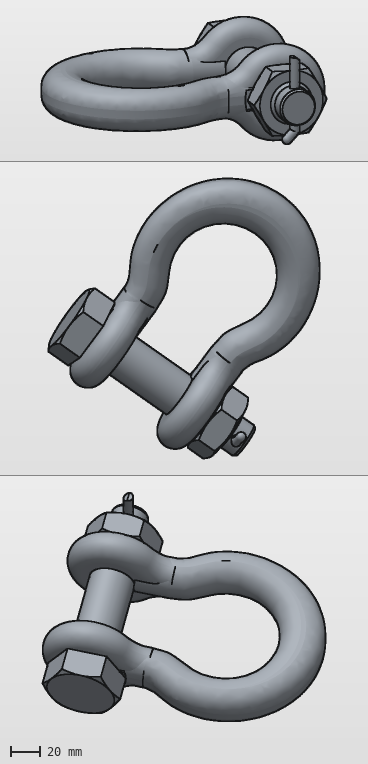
import cadquery as cq
import math


EAR_RADIUS = 34.2
EAR_CENTER_X = 37.0
EAR_WIDTH = 23.5
EAR_EDGE_ROUND = 11.5
NECK_FILLET = 20.9

LIMB_HEIGHT = 29.6
OUTER_STRIP_HEIGHT = 6.0
LIMB_TOP_FLAT = 0.2
LEG_CENTER_X = 36.6
LEG_WIDTH = 26.8
SIDE_WIDTH = 28.5
CROWN_WIDTH = 31.9
BOW_INNER_RADIUS = 36.8
BOW_BOTTOM_Y = -155.5
BEND_RADIUS = 33.2
BOW_STEPS = 8
SHOULDER_STEPS = 3
BEND_STEPS = 3

SHANK_RADIUS = 16.0
SEAT_X = 49.3
HEAD_LENGTH = 19.2
HEAD_FLATS = 47.8
NUT_LENGTH = 17.5
NUT_FLATS = 46.1
HEX_CHAMFER_ANGLE = 30.0

TIP_END_X = 81.4
TIP_RADIUS = 12.9
CONE_RADIUS = 15.2
TIP_CHAMFER_LENGTH = 1.9
TIP_CHAMFER_DEPTH = 1.1

COTTER_X = 73.6
COTTER_RADIUS = 3.5
COTTER_TOP_Z = 34.7
COTTER_TOP_DROP = 2.7
COTTER_BEND_Z = -18.2
COTTER_TAIL_DROP = 5.7

LIMB_HALF_HEIGHT = LIMB_HEIGHT / 2
BOW_CENTER_Y = BOW_BOTTOM_Y + BOW_INNER_RADIUS + CROWN_WIDTH
SIDE_RADIUS = BOW_INNER_RADIUS + SIDE_WIDTH / 2
SHOULDER_ANGLE = math.acos((LEG_CENTER_X + BEND_RADIUS) / (SIDE_RADIUS + BEND_RADIUS))
BEND_CENTER_X = LEG_CENTER_X + BEND_RADIUS
BEND_CENTER_Y = BOW_CENTER_Y + (SIDE_RADIUS + BEND_RADIUS) * math.sin(SHOULDER_ANGLE)
HEX_FACTOR = 1 / math.cos(math.pi / 6)


def between(start, end, share):
    return start + (end - start) * share


def limb_stations():
    """Middle x, y, outward angle and width of each section, from the crown up the +X limb."""
    stations = []
    for step in range(BOW_STEPS + 1):
        angle = -math.pi / 2 * (1 - step / BOW_STEPS)
        width = between(SIDE_WIDTH, CROWN_WIDTH, math.sin(angle) ** 2)
        radius = BOW_INNER_RADIUS + width / 2
        stations.append((radius * math.cos(angle), BOW_CENTER_Y + radius * math.sin(angle), angle, width))
    middle_width = (SIDE_WIDTH + LEG_WIDTH) / 2
    for step in range(1, SHOULDER_STEPS + 1):
        share = step / SHOULDER_STEPS
        angle = SHOULDER_ANGLE * share
        x = SIDE_RADIUS * math.cos(angle)
        y = BOW_CENTER_Y + SIDE_RADIUS * math.sin(angle)
        stations.append((x, y, angle, between(SIDE_WIDTH, middle_width, share)))
    for step in range(1, BEND_STEPS + 1):
        share = step / BEND_STEPS
        angle = SHOULDER_ANGLE * (1 - share)
        x = BEND_CENTER_X - BEND_RADIUS * math.cos(angle)
        y = BEND_CENTER_Y - BEND_RADIUS * math.sin(angle)
        stations.append((x, y, angle, between(middle_width, LEG_WIDTH, share)))
    return stations


def limb_section(x, y, angle, width):
    """Closed section: a half round on the inside, two elliptical corners on the outside."""
    outward = cq.Vector(math.cos(angle), math.sin(angle), 0)
    backward = cq.Vector(math.sin(angle), -math.cos(angle), 0)
    plane = cq.Plane(origin=(x, y, 0), xDir=outward, normal=backward)
    half = LIMB_HALF_HEIGHT
    inner = -width / 2
    outer = width / 2
    corner_height = half - OUTER_STRIP_HEIGHT / 2
    corner_depth = min(width, SIDE_WIDTH) - half - LIMB_TOP_FLAT
    return (
        cq.Workplane(plane)
        .moveTo(inner + half, -half)
        .lineTo(outer - corner_depth, -half)
        .ellipseArc(corner_depth, corner_height, -90, 0)
        .lineTo(outer, half - corner_height)
        .ellipseArc(corner_depth, corner_height, 0, 90)
        .lineTo(inner + half, half)
        .threePointArc((inner, 0), (inner + half, -half))
        .close()
        .wire()
        .val()
    )


def make_limbs():
    """The round of the bow with its reverse bends, and the two straight legs."""
    right = limb_stations()
    left = [(-x, y, math.pi - angle, width) for x, y, angle, width in right[:0:-1]]
    sections = [limb_section(*station) for station in left + right]
    limbs = cq.Workplane(cq.Solid.makeLoft(sections))
    leg_length = -SHANK_RADIUS - BEND_CENTER_Y
    for end in (sections[0], sections[-1]):
        leg = cq.Solid.extrudeLinear(end, [], cq.Vector(0, leg_length, 0))
        limbs = limbs.union(cq.Workplane(leg))
    return limbs


def make_ear(center_x):
    """Round-edged ear with a neck that fairs into the leg above and below."""
    fillet_z = LIMB_HALF_HEIGHT + NECK_FILLET
    reach = EAR_RADIUS + NECK_FILLET
    fillet_y = -math.sqrt(reach**2 - fillet_z**2)
    touch_y = fillet_y * EAR_RADIUS / reach
    touch_z = fillet_z * EAR_RADIUS / reach
    middle_angle = math.atan2(fillet_z, -fillet_y) / 2 + math.pi / 4
    middle_y = fillet_y + NECK_FILLET * math.cos(middle_angle)
    middle_z = fillet_z - NECK_FILLET * math.sin(middle_angle)
    return (
        cq.Workplane("YZ", origin=(center_x - EAR_WIDTH / 2, 0, 0))
        .moveTo(fillet_y, -LIMB_HALF_HEIGHT)
        .threePointArc((middle_y, -middle_z), (touch_y, -touch_z))
        .threePointArc((EAR_RADIUS, 0), (touch_y, touch_z))
        .threePointArc((middle_y, middle_z), (fillet_y, LIMB_HALF_HEIGHT))
        .close()
        .extrude(EAR_WIDTH)
        .faces("<X or >X")
        .edges("not %LINE")
        .fillet(EAR_EDGE_ROUND)
    )


def x_cylinder(radius, start, end):
    return cq.Workplane("YZ", origin=(start, 0, 0)).circle(radius).extrude(end - start)


def make_bow():
    bow = make_limbs()
    seat_radius = HEAD_FLATS / 2 * HEX_FACTOR
    for side in (-1, 1):
        bow = bow.union(make_ear(side * EAR_CENTER_X))
        bow = bow.cut(x_cylinder(seat_radius, side * SEAT_X, side * TIP_END_X))
    return bow.cut(x_cylinder(SHANK_RADIUS, -SEAT_X, SEAT_X))


def make_hex(flats, start, end, chamfer_start):
    """Hexagon along X with corners toward +Y and -Y, chamfered at the end and, if asked, the start."""
    flat_radius = flats / 2
    corner_radius = flat_radius * HEX_FACTOR
    rise = corner_radius - flat_radius
    run = rise * math.tan(math.radians(HEX_CHAMFER_ANGLE))
    direction = math.copysign(1, end - start)
    turned = cq.Workplane("XY").moveTo(start, 0)
    if chamfer_start:
        turned = turned.lineTo(start, flat_radius).lineTo(start + direction * run, corner_radius)
    else:
        turned = turned.lineTo(start, corner_radius)
    turned = (
        turned.lineTo(end - direction * run, corner_radius)
        .lineTo(end, flat_radius)
        .lineTo(end, 0)
        .close()
        .revolve(360, (0, 0, 0), (1, 0, 0))
    )
    prism = cq.Workplane("YZ", origin=(start, 0, 0)).polygon(6, 2 * corner_radius).extrude(end - start)
    return prism.intersect(turned)


def make_shank():
    nut_end = SEAT_X + NUT_LENGTH
    cone_length = CONE_RADIUS - TIP_RADIUS
    return (
        cq.Workplane("XY")
        .moveTo(-SEAT_X, 0)
        .lineTo(-SEAT_X, SHANK_RADIUS)
        .lineTo(SEAT_X, SHANK_RADIUS)
        .lineTo(nut_end, CONE_RADIUS)
        .lineTo(nut_end + cone_length, TIP_RADIUS)
        .lineTo(TIP_END_X - TIP_CHAMFER_LENGTH, TIP_RADIUS)
        .lineTo(TIP_END_X, TIP_RADIUS - TIP_CHAMFER_DEPTH)
        .lineTo(TIP_END_X, 0)
        .close()
        .revolve(360, (0, 0, 0), (1, 0, 0))
    )


def make_cotter():
    """Locking pin through the bolt tip, sloped on top and bent toward -Y below."""
    path = (
        cq.Workplane("YZ", origin=(COTTER_X, 0, 0))
        .moveTo(0, COTTER_TOP_Z)
        .lineTo(0, COTTER_BEND_Z)
        .lineTo(-COTTER_TAIL_DROP, COTTER_BEND_Z - COTTER_TAIL_DROP)
    )
    pin = (
        cq.Workplane("XY", origin=(COTTER_X, 0, COTTER_TOP_Z))
        .circle(COTTER_RADIUS)
        .sweep(path, transition="right")
    )
    tail_end = (COTTER_X, -COTTER_TAIL_DROP, COTTER_BEND_Z - COTTER_TAIL_DROP)
    slope = (
        cq.Workplane("YZ", origin=(COTTER_X, 0, 0))
        .moveTo(0, COTTER_TOP_Z)
        .lineTo(COTTER_RADIUS, COTTER_TOP_Z - COTTER_TOP_DROP)
        .lineTo(COTTER_RADIUS, COTTER_TOP_Z)
        .close()
        .extrude(COTTER_RADIUS, both=True)
    )
    return pin.union(cq.Workplane("XY").sphere(COTTER_RADIUS).translate(tail_end)).cut(slope)


def make_bolt():
    head = make_hex(HEAD_FLATS, -SEAT_X, -SEAT_X - HEAD_LENGTH, chamfer_start=False)
    nut = make_hex(NUT_FLATS, SEAT_X, SEAT_X + NUT_LENGTH, chamfer_start=True)
    return make_shank().union(head).union(nut).union(make_cotter())


bow = make_bow()
bolt = make_bolt()
result = cq.Compound.makeCompound([bow.solids().val(), bolt.solids().val()])